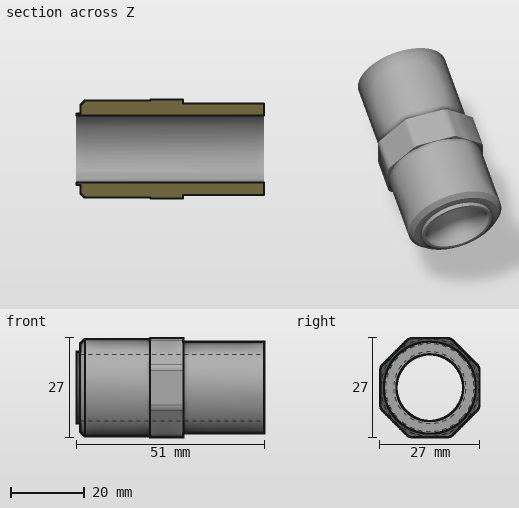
import cadquery as cq
import math

total_length = 51.0
bore_diameter = 18.05
lip_diameter = 19.6
lip_length = 1.0
body_diameter = 26.45
body_chamfer = 1.3
spigot_diameter = 25.0
collar_across_flats = 27.0
collar_sides = 8
collar_corner_radius = 2.25
collar_start = 20.0
collar_length = 9.05

lip_x = -total_length / 2
body_x = lip_x + lip_length
collar_x = lip_x + collar_start
spigot_x = collar_x + collar_length
spigot_end_x = lip_x + total_length


def cylinder(diameter, start_x, end_x):
    """Solid cylinder on the X axis between two stations."""
    return (
        cq.Workplane("YZ", origin=(start_x, 0, 0))
        .circle(diameter / 2)
        .extrude(end_x - start_x)
    )


def octagonal_collar():
    """Wrench collar with flats square to Y and Z and rounded corners."""
    half_side_angle = math.pi / collar_sides
    across_corners = collar_across_flats / math.cos(half_side_angle)
    return (
        cq.Workplane("YZ", origin=(collar_x, 0, 0))
        .transformed(rotate=(0, 0, math.degrees(half_side_angle)))
        .polygon(collar_sides, across_corners)
        .extrude(collar_length)
        .edges("|X")
        .fillet(collar_corner_radius)
    )


lip = cylinder(lip_diameter, lip_x, body_x)
body = cylinder(body_diameter, body_x, collar_x).faces("<X").chamfer(body_chamfer)
spigot = cylinder(spigot_diameter, spigot_x, spigot_end_x)
bore = cylinder(bore_diameter, lip_x, spigot_end_x)

result = lip.union(body).union(octagonal_collar()).union(spigot).cut(bore)